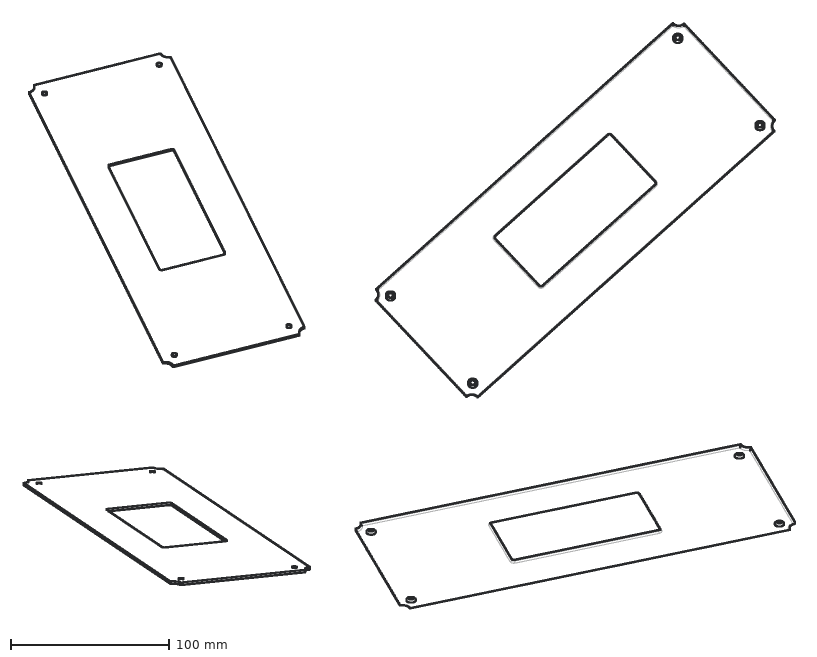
import cadquery as cq

length = 264.5
width = 94.77
thickness = 2.0

notch_radius = 5.0

edge_radius = 1.0

window_length = 99.5
window_width = 44.0
window_corner_radius = 1.5

hole_diameter = 3.1
countersink_diameter = 6.0
countersink_depth = (countersink_diameter - hole_diameter) / 2
hole_inset = 9.0
hole_spacing_x = length - 2 * hole_inset
hole_spacing_y = width - 2 * hole_inset


def corner_points(spacing_x, spacing_y):
    """Workplane holding the four corners of a centred rectangle."""
    return cq.Workplane("XY").rect(spacing_x, spacing_y, forConstruction=True).vertices()


def make_plate():
    blank = cq.Workplane("XY").box(length, width, thickness, centered=(True, True, False))
    notches = corner_points(length, width).circle(notch_radius).extrude(thickness)
    return blank.cut(notches)


def make_window():
    window = cq.Workplane("XY").box(
        window_length, window_width, thickness, centered=(True, True, False)
    )
    return window.edges("|Z").fillet(window_corner_radius)


def make_mounting_holes():
    bore = cq.Solid.makeCylinder(hole_diameter / 2, thickness)
    countersink = cq.Solid.makeCone(countersink_diameter / 2, hole_diameter / 2, countersink_depth)
    hole = bore.fuse(countersink)
    return corner_points(hole_spacing_x, hole_spacing_y).eachpoint(
        lambda location: hole.moved(location), combine=False
    )


frame = make_plate().cut(make_window())
rounded_frame = frame.faces("<Z").edges().fillet(edge_radius)
result = rounded_frame.cut(make_mounting_holes())